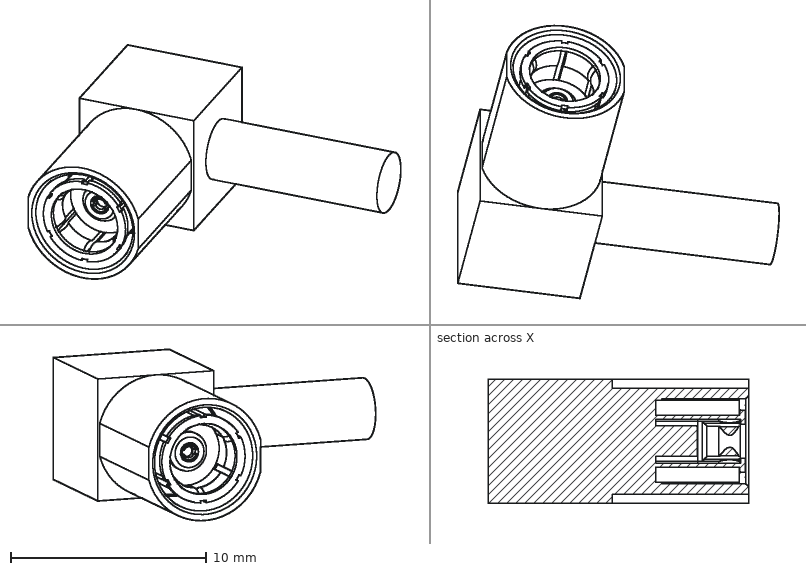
import cadquery as cq
import math


total_length = 15.85
block_size = 6.35
block_offset = 0.02
tube_diameter = 3.17

shell_length = 6.99
shell_radius = block_size / 2
shell_half_width = 3.06
mouth_radius = 2.85
cavity_radius = 2.7
mouth_chamfer_length = 0.16
cavity_floor_radius = 2.65
floor_step_height = 0.32
cavity_depth = 4.75

ring_recess = 0.17
collar_radius = 2.28
ring_mouth_radius = 1.84
rim_bridge_radius = 2.17
collar_length = 0.32
ring_wall_radius = 2.11
rim_length = 0.27
throat_radius = 1.65
throat_depth = 0.8
ring_bore_radius = 1.8
bore_start_depth = 1.38
slot_count = 6
slot_width = 0.3

plug_depth = 2.63
insulator_radius = 1.01
insulator_chamfer = 0.22
insulator_height = 0.48
insulator_hole_radius = 0.49
contact_radius = 0.45
contact_height = insulator_height
contact_mouth_radius = 0.38
contact_bore_radius = 0.29
contact_chamfer_length = 0.1
contact_bore_depth = 0.4
contact_slot_width = 0.24
contact_slot_depth = 0.32

mouth_y = 0.0
ring_y = mouth_y + ring_recess
floor_y = mouth_y + cavity_depth
plug_y = mouth_y + plug_depth


def cylinder(radius, y_start, y_end):
    """Solid cylinder on the socket axis between two Y positions."""
    return cq.Workplane("XZ", origin=(0, y_start, 0)).circle(radius).extrude(y_start - y_end)


def revolve_profile(profile):
    """Turn a closed profile of radius (X) and depth (Y) about the socket axis."""
    return profile.close().revolve(360, (0, 0, 0), (0, 1, 0))


def make_body():
    """Elbow block, cable tube and the flat-sided outer shell, all solid."""
    block_y = shell_length + block_size / 2
    block = cq.Workplane("XY").box(block_size, block_size, block_size)
    block = block.translate((block_offset, block_y, 0))
    tube_start = block_offset + block_size / 2
    tube_length = total_length - block_size
    tube = cq.Workplane("YZ", origin=(tube_start, block_y, 0)).circle(tube_diameter / 2).extrude(tube_length)
    flats = cq.Workplane("XY").box(2 * shell_half_width, 2 * shell_length, block_size)
    shell = cylinder(shell_radius, mouth_y, shell_length).intersect(flats)
    return block.union(tube).union(shell)


def make_cavity():
    """Chamfered bore with a slightly narrower stretch at its floor."""
    return revolve_profile(
        cq.Workplane("XY")
        .moveTo(0, mouth_y)
        .lineTo(mouth_radius, mouth_y)
        .lineTo(cavity_radius, mouth_y + mouth_chamfer_length)
        .lineTo(cavity_radius, floor_y - floor_step_height)
        .lineTo(cavity_floor_radius, floor_y - floor_step_height)
        .lineTo(cavity_floor_radius, floor_y)
        .lineTo(0, floor_y)
    )


def throat_entry_middle(length, throat_y):
    """Middle point of the arc that runs in from the rim and levels out at the throat."""
    drop = ring_mouth_radius - throat_radius
    arc_radius = (length**2 + drop**2) / (2 * drop)
    half_angle = math.asin(length / arc_radius) / 2
    radius = throat_radius + arc_radius * (1 - math.cos(half_angle))
    return radius, throat_y - arc_radius * math.sin(half_angle)


def make_ring():
    """Spring ring: a solid rim at its face and, behind it, a wall split into fingers."""
    rim_end = ring_y + rim_length
    throat_y = ring_y + throat_depth
    entry_middle = throat_entry_middle(throat_y - rim_end, throat_y)
    ring = revolve_profile(
        cq.Workplane("XY")
        .moveTo(collar_radius, ring_y)
        .lineTo(ring_mouth_radius, ring_y)
        .lineTo(ring_mouth_radius, rim_end)
        .threePointArc(entry_middle, (throat_radius, throat_y))
        .tangentArcPoint((ring_bore_radius, ring_y + bore_start_depth), relative=False)
        .lineTo(ring_bore_radius, floor_y)
        .lineTo(ring_wall_radius, floor_y)
        .lineTo(ring_wall_radius, ring_y + collar_length)
        .lineTo(collar_radius, ring_y + collar_length)
    )
    rim = cylinder(rim_bridge_radius, ring_y, rim_end).cut(cylinder(ring_mouth_radius, ring_y, rim_end))
    slot_length = floor_y - ring_y
    slot = cq.Workplane("XY").box(collar_radius, slot_length, slot_width, centered=(False, False, True))
    slot = slot.translate((0, ring_y, 0))
    for index in range(slot_count):
        angle = 90 + index * 360 / slot_count
        ring = ring.cut(slot.rotate((0, 0, 0), (0, 1, 0), angle))
    return ring.union(rim)


def make_insulator():
    """Plug in the ring bore with a chamfered sleeve around the centre contact."""
    tip_y = plug_y - insulator_height
    return revolve_profile(
        cq.Workplane("XY")
        .moveTo(insulator_hole_radius, plug_y)
        .lineTo(0, plug_y)
        .lineTo(0, floor_y)
        .lineTo(ring_bore_radius, floor_y)
        .lineTo(ring_bore_radius, plug_y)
        .lineTo(insulator_radius, plug_y)
        .lineTo(insulator_radius, tip_y + insulator_chamfer)
        .lineTo(insulator_radius - insulator_chamfer, tip_y)
        .lineTo(insulator_hole_radius, tip_y)
    )


def make_contact():
    """Centre contact: a socket with a countersunk bore, split on both sides."""
    tip_y = plug_y - contact_height
    bore_end = tip_y + contact_bore_depth
    contact = revolve_profile(
        cq.Workplane("XY")
        .moveTo(0, floor_y)
        .lineTo(contact_radius, floor_y)
        .lineTo(contact_radius, tip_y)
        .lineTo(contact_mouth_radius, tip_y)
        .lineTo(contact_bore_radius, tip_y + contact_chamfer_length)
        .lineTo(contact_bore_radius, bore_end)
        .lineTo(0, bore_end)
    )
    split = cq.Workplane("XY").box(2 * contact_radius, 2 * contact_slot_depth, contact_slot_width)
    return contact.cut(split.translate((0, tip_y, 0)))


result = (
    make_body()
    .cut(make_cavity())
    .union(make_ring())
    .union(make_insulator())
    .union(make_contact())
)